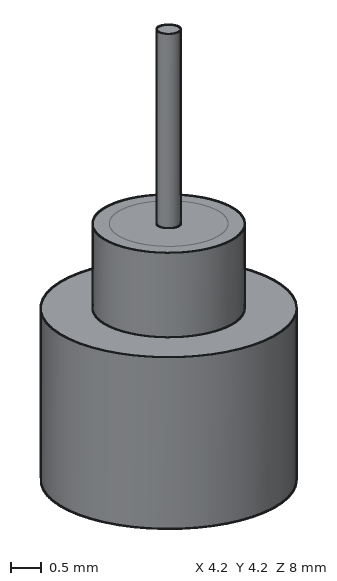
import cadquery as cq

TOTAL_HEIGHT = 8.0
BODY_DIAMETER = 4.2
BODY_HEIGHT = 3.05
COLLAR_DIAMETER = 2.5
COLLAR_HEIGHT = 1.5
INSULATOR_DIAMETER = 1.95
PIN_DIAMETER = 0.4

COLLAR_TOP = BODY_HEIGHT + COLLAR_HEIGHT


def cylinder(diameter, bottom, top):
    """Cylinder on the Z axis between two levels."""
    return cq.Workplane("XY").workplane(offset=bottom).circle(diameter / 2).extrude(top - bottom)


def make_shell():
    """Wide body with a narrower collar, bored through the collar for the insulator."""
    body = cylinder(BODY_DIAMETER, 0, BODY_HEIGHT)
    collar = cylinder(COLLAR_DIAMETER, BODY_HEIGHT, COLLAR_TOP)
    bore = cylinder(INSULATOR_DIAMETER, BODY_HEIGHT, COLLAR_TOP)
    return body.union(collar).cut(bore)


def make_insulator():
    """Plug that fills the collar bore flush with its rim."""
    return cylinder(INSULATOR_DIAMETER, BODY_HEIGHT, COLLAR_TOP)


def make_pin():
    """Thin contact pin standing on the insulator."""
    return cylinder(PIN_DIAMETER, COLLAR_TOP, TOTAL_HEIGHT)


result = make_shell().union(make_insulator(), clean=False).union(make_pin(), clean=False)